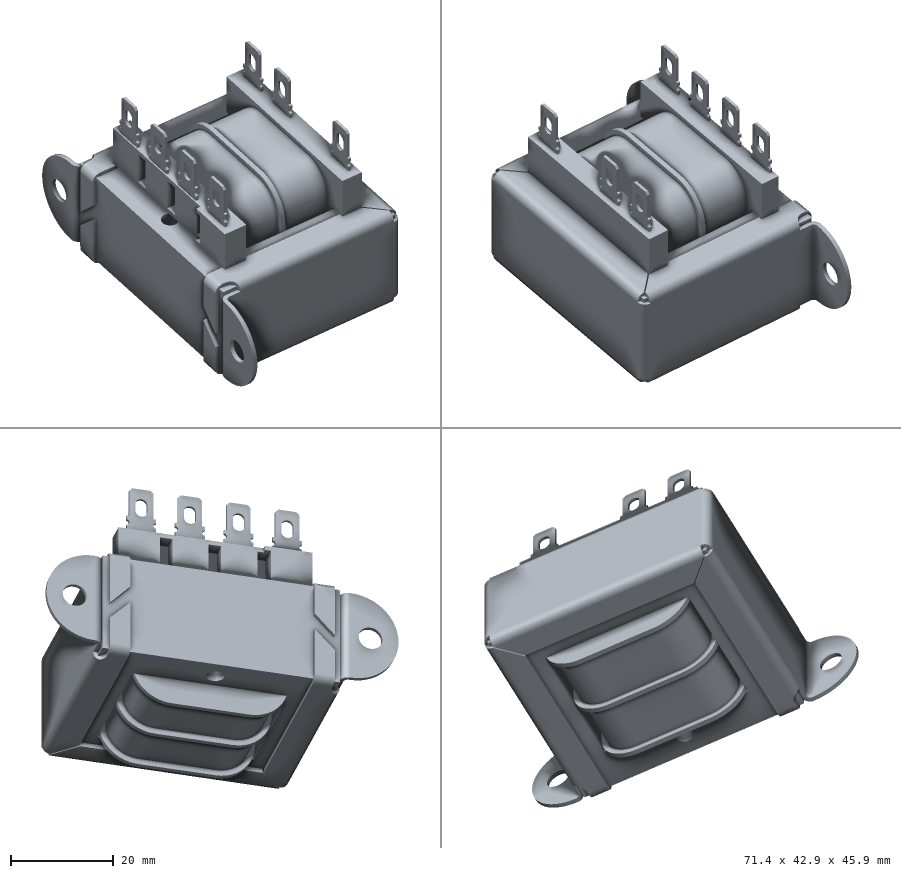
import cadquery as cq

CASE_WIDTH = 50.0
CASE_DEPTH = 42.93
CASE_HEIGHT = 22.8
SHEET = 0.9
BEND_RADIUS = 2 * SHEET
FLANGE_WIDTH = 6.3
CORNER_RELIEF_RADIUS = 2.2
MITER_GAP = 0.3

TAB_OUTER_X = 22.8
TAB_INNER_X = CASE_WIDTH / 2 - FLANGE_WIDTH
UPPER_TAB_INNER_Z = 3.8
UPPER_TAB_OUTER_Z = -0.5
LOWER_TAB_INNER_Z = 0.25
LOWER_TAB_OUTER_Z = -3.9

OVERALL_WIDTH = 71.37
EAR_RADIUS = CASE_HEIGHT / 2 - BEND_RADIUS
EAR_HOLE_SPACING = 60.0
EAR_HOLE_DIAMETER = 4.8

CORE_WIDTH = CASE_WIDTH - 2 * SHEET
CORE_HEIGHT = CASE_HEIGHT - 2 * SHEET
CORE_FRONT_Y = SHEET
CORE_BACK_Y = CASE_DEPTH - SHEET
YOKE_HOLE_DIAMETER = 3.6
YOKE_HOLE_Y = 5.3

BOBBIN_FRONT_Y = 8.65
BOBBIN_BACK_Y = 33.65
BOBBIN_WIDTH = 31.6
BOBBIN_TOP_Z = 20.36
BOBBIN_BOTTOM_Z = -16.0
BOBBIN_CORNER_RADIUS = 7.9
BOBBIN_WALL = 1.0
WINDING_INSET = 1.2

BLOCK_WIDTH = 39.1
BLOCK_BOTTOM_Z = CASE_HEIGHT / 2
FRONT_BLOCK_Y = 5.55
BACK_BLOCK_Y = 37.3
STEP_HEIGHT = 1.0
STEP_START_X = 9.9
POCKET_WIDTH = 2.5
POCKET_DEPTH = 3.0
POCKET_BOTTOM_Z = 12.4
POCKET_TOP_Z = 19.4

TERMINAL_PITCH = 9.87
TERMINAL_THICKNESS = 0.6
TERMINAL_HEIGHT = 9.49
TERMINAL_BLADE_WIDTH = 4.85
TERMINAL_BASE_WIDTH = 5.95
TERMINAL_SHOULDER = 3.1
TERMINAL_CHAMFER = 0.6
NOTCH_RADIUS = 0.57
NOTCH_HEIGHT = 1.65
EYE_WIDTH = 2.4
EYE_LENGTH = 3.95
EYE_HEIGHT = 5.3
FRONT_TERMINAL_Y = 5.85
BACK_TERMINAL_Y = 35.4
FRONT_TERMINALS = (-1.5, -0.5, 0.5, 1.5)
BACK_TERMINALS = (-1.5, -0.5, 1.5)


def box(x0, x1, y0, y1, z0, z1):
    """Axis-aligned box between opposite corners."""
    return cq.Workplane("XY").box(x1 - x0, y1 - y0, z1 - z0, centered=False).translate((x0, y0, z0))


def both_sides(body):
    """Body together with its mirror image across X = 0."""
    return body.union(body.mirror("YZ"))


def rounded_case_block():
    """Case envelope with bends along its long edges and back corners."""
    half_width = CASE_WIDTH / 2
    half_height = CASE_HEIGHT / 2
    envelope = (-half_width, half_width, 0, CASE_DEPTH, -half_height, half_height)
    along_y = box(*envelope).edges("|Y").fillet(BEND_RADIUS)
    along_x = box(*envelope).edges("|X").fillet(BEND_RADIUS)
    along_z = box(*envelope).edges("|Z and >Y").fillet(BEND_RADIUS)
    return along_y.intersect(along_x).intersect(along_z)


def corner_reliefs():
    """Material missing at the left corners, for the top half of the case."""
    half_width = CASE_WIDTH / 2
    z0 = CASE_HEIGHT / 2 - BEND_RADIUS
    z1 = CASE_HEIGHT / 2
    bend_x = -half_width + BEND_RADIUS
    bend_y = CASE_DEPTH - BEND_RADIUS
    back = box(-half_width, bend_x, bend_y, CASE_DEPTH, z0, z1)
    relief_y = CORNER_RELIEF_RADIUS
    front = box(-half_width, -TAB_OUTER_X, 0, relief_y, z0, z1)
    round_end = (
        cq.Workplane("XY", origin=(-half_width, relief_y, z0))
        .circle(CORNER_RELIEF_RADIUS)
        .extrude(z1 - z0)
    )
    slit = (
        box(0, FLANGE_WIDTH * 2**0.5, -MITER_GAP / 2, MITER_GAP / 2, z0, z1)
        .rotate((0, 0, 0), (0, 0, 1), -45)
        .translate((bend_x, bend_y, 0))
    )
    return back.union(front).union(round_end).union(slit)


def front_gap():
    """Slanted gap between the left tabs, with the open strip beside them."""
    half_width = CASE_WIDTH / 2
    gap = (
        cq.Workplane("XZ")
        .moveTo(-TAB_INNER_X, UPPER_TAB_INNER_Z)
        .lineTo(-TAB_OUTER_X, UPPER_TAB_OUTER_Z)
        .lineTo(-TAB_OUTER_X, LOWER_TAB_OUTER_Z)
        .lineTo(-TAB_INNER_X, LOWER_TAB_INNER_Z)
        .close()
        .extrude(-SHEET)
    )
    straight_z = CASE_HEIGHT / 2 - BEND_RADIUS
    strip = box(-half_width, -TAB_OUTER_X, 0, BEND_RADIUS, -straight_z, straight_z)
    return gap.union(strip)


def make_case():
    """Folded case: side and back walls, flanges and front tabs."""
    half_core = CORE_WIDTH / 2
    half_height = CASE_HEIGHT / 2
    case = rounded_case_block()
    case = case.cut(
        box(-half_core, half_core, CORE_FRONT_Y, CORE_BACK_Y, -CORE_HEIGHT / 2, CORE_HEIGHT / 2)
    )
    case = case.cut(
        box(-TAB_INNER_X, TAB_INNER_X, 0, CASE_DEPTH - FLANGE_WIDTH, -half_height, half_height)
    )
    reliefs = corner_reliefs()
    reliefs = reliefs.union(reliefs.mirror("XY"))
    return case.cut(both_sides(reliefs)).cut(both_sides(front_gap()))


def make_ear():
    """Left mounting ear, bent outward from the side wall."""
    wall_x = -CASE_WIDTH / 2
    bend_x = wall_x - SHEET
    tip_x = -OVERALL_WIDTH / 2
    bend = (
        cq.Workplane("XY", origin=(0, 0, -EAR_RADIUS))
        .center(bend_x, BEND_RADIUS)
        .circle(BEND_RADIUS)
        .circle(BEND_RADIUS - SHEET)
        .extrude(2 * EAR_RADIUS)
        .intersect(box(bend_x, wall_x + SHEET, 0, BEND_RADIUS, -EAR_RADIUS, EAR_RADIUS))
    )
    arc_x = tip_x + EAR_RADIUS
    plate = (
        cq.Workplane("XZ")
        .moveTo(bend_x, EAR_RADIUS)
        .lineTo(arc_x, EAR_RADIUS)
        .threePointArc((tip_x, 0), (arc_x, -EAR_RADIUS))
        .lineTo(bend_x, -EAR_RADIUS)
        .close()
        .extrude(-SHEET)
    )
    hole = (
        cq.Workplane("XZ")
        .center(-EAR_HOLE_SPACING / 2, 0)
        .circle(EAR_HOLE_DIAMETER / 2)
        .extrude(-SHEET)
    )
    return bend.union(plate).cut(hole)


def make_core():
    """Laminated core with its winding window and the hole in the front yoke."""
    half_width = CORE_WIDTH / 2
    half_height = CORE_HEIGHT / 2
    half_window = BOBBIN_WIDTH / 2
    core = box(-half_width, half_width, CORE_FRONT_Y, CORE_BACK_Y, -half_height, half_height)
    core = core.cut(
        box(-half_window, half_window, BOBBIN_FRONT_Y, BOBBIN_BACK_Y, -half_height, half_height)
    )
    yoke_hole = (
        cq.Workplane("XY", origin=(0, YOKE_HOLE_Y, -half_height))
        .circle(YOKE_HOLE_DIAMETER / 2)
        .extrude(CORE_HEIGHT)
    )
    return core.cut(yoke_hole)


def rounded_slab(inset, y0, y1):
    """Rounded slab across Y, lying inset from the bobbin rim."""
    return (
        box(
            -BOBBIN_WIDTH / 2 + inset, BOBBIN_WIDTH / 2 - inset,
            y0, y1,
            BOBBIN_BOTTOM_Z + inset, BOBBIN_TOP_Z - inset,
        )
        .edges("|Y")
        .fillet(BOBBIN_CORNER_RADIUS - inset)
    )


def make_bobbin():
    """Winding between two end walls, with a divider halfway."""
    middle_y = (BOBBIN_FRONT_Y + BOBBIN_BACK_Y) / 2
    bobbin = rounded_slab(WINDING_INSET, BOBBIN_FRONT_Y, BOBBIN_BACK_Y)
    for wall_y in (BOBBIN_FRONT_Y, middle_y - BOBBIN_WALL / 2, BOBBIN_BACK_Y - BOBBIN_WALL):
        bobbin = bobbin.union(rounded_slab(0, wall_y, wall_y + BOBBIN_WALL))
    return bobbin


def make_front_block():
    """Front terminal block: raised right end and a pocket between terminals."""
    half = BLOCK_WIDTH / 2
    back_y = BOBBIN_FRONT_Y + BOBBIN_WALL
    step_y = FRONT_BLOCK_Y - STEP_HEIGHT
    block = box(-half, half, FRONT_BLOCK_Y, back_y, BLOCK_BOTTOM_Z, BOBBIN_TOP_Z)
    block = block.union(box(STEP_START_X, half, step_y, back_y, BLOCK_BOTTOM_Z, BOBBIN_TOP_Z))
    for index in (-1, 0, 1):
        x0 = index * TERMINAL_PITCH - POCKET_WIDTH / 2
        pocket = box(
            x0, x0 + POCKET_WIDTH,
            step_y, FRONT_BLOCK_Y + POCKET_DEPTH,
            POCKET_BOTTOM_Z, POCKET_TOP_Z,
        )
        block = block.cut(pocket)
    return block


def make_back_block():
    """Plain terminal block at the back."""
    half = BLOCK_WIDTH / 2
    return box(-half, half, BOBBIN_BACK_Y - BOBBIN_WALL, BACK_BLOCK_Y, BLOCK_BOTTOM_Z, BOBBIN_TOP_Z)


def make_terminal():
    """Solder terminal standing on Z = 0 with its front face on Y = 0."""
    half_blade = TERMINAL_BLADE_WIDTH / 2
    half_base = TERMINAL_BASE_WIDTH / 2
    blade = (
        box(-half_blade, half_blade, 0, TERMINAL_THICKNESS, 0, TERMINAL_HEIGHT)
        .edges("|Y and >Z")
        .chamfer(TERMINAL_CHAMFER)
    )
    base = box(-half_base, half_base, 0, TERMINAL_THICKNESS, 0, TERMINAL_SHOULDER)
    notches = (
        cq.Workplane("XZ")
        .pushPoints([(-half_base, NOTCH_HEIGHT), (half_base, NOTCH_HEIGHT)])
        .circle(NOTCH_RADIUS)
        .extrude(-TERMINAL_THICKNESS)
    )
    eye = (
        cq.Workplane("XZ")
        .center(0, EYE_HEIGHT)
        .slot2D(EYE_LENGTH, EYE_WIDTH, 90)
        .extrude(-TERMINAL_THICKNESS)
    )
    return blade.union(base).cut(notches).cut(eye)


def add_terminals(body, positions, y):
    """Body with a row of terminals on top of a block."""
    for position in positions:
        body = body.union(make_terminal().translate((position * TERMINAL_PITCH, y, BOBBIN_TOP_Z)))
    return body


result = make_core().union(make_case()).union(both_sides(make_ear()))
result = result.union(make_bobbin()).union(make_front_block()).union(make_back_block())
result = add_terminals(result, FRONT_TERMINALS, FRONT_TERMINAL_Y)
result = add_terminals(result, BACK_TERMINALS, BACK_TERMINAL_Y)